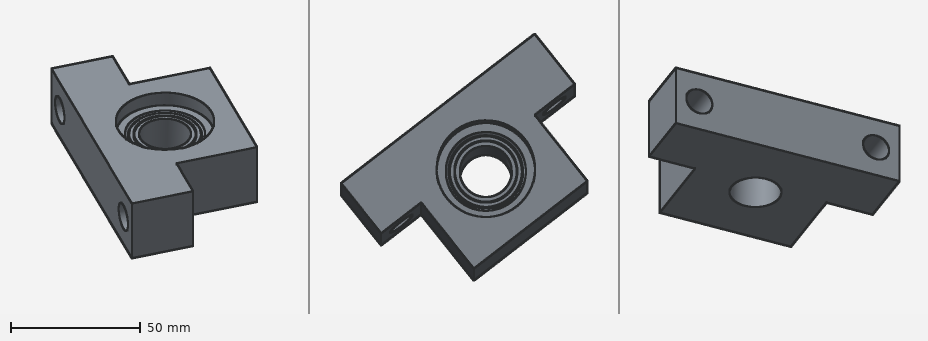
import cadquery as cq

length = 95.0
depth = 58.0
height = 26.0

flange_depth = 25.1
housing_width = 55.8

mount_hole_diameter = 11.0
mount_hole_spacing = 75.05

bore_center_y = 30.0
bore_diameter = 20.0
pocket_diameter = 38.0
pocket_depth = 6.0
floor_z = height - pocket_depth

taper_top_diameter = 31.0
taper_bottom_diameter = 28.8
shield_diameter = 27.8
taper_depth = 0.95

gap_outer_diameter = 24.4
gap_inner_diameter = 23.8
gap_depth = 0.5


def make_body():
    flange = cq.Workplane("XY").box(length, flange_depth, height, centered=(True, False, False))
    housing = cq.Workplane("XY").box(housing_width, depth, height, centered=(True, False, False))
    return flange.union(housing)


def make_mount_holes():
    holes = cq.Workplane("XZ").pushPoints(
        [(side * mount_hole_spacing / 2, height / 2) for side in (-1, 1)]
    )
    return holes.circle(mount_hole_diameter / 2).extrude(-flange_depth)


def ring_cut(top_outer, bottom_outer, inner, cut_depth):
    """Ring-shaped groove cut down from the pocket floor, with an optionally tapered outer wall."""
    bottom_z = floor_z - cut_depth
    profile = cq.Workplane("XZ").polyline([
        (inner / 2, floor_z),
        (top_outer / 2, floor_z),
        (bottom_outer / 2, bottom_z),
        (inner / 2, bottom_z),
    ]).close()
    ring = profile.revolve(360, (0, 0, 0), (0, 1, 0))
    return ring.translate((0, bore_center_y, 0))


def make_bearing_seat():
    axis = cq.Workplane("XY").center(0, bore_center_y)
    bore = axis.circle(bore_diameter / 2).extrude(height)
    pocket = axis.workplane(offset=floor_z).circle(pocket_diameter / 2).extrude(pocket_depth)
    return bore.union(pocket)


shield_groove = ring_cut(taper_top_diameter, taper_bottom_diameter, shield_diameter, taper_depth)
inner_ring_gap = ring_cut(gap_outer_diameter, gap_outer_diameter, gap_inner_diameter, gap_depth)

result = (
    make_body()
    .cut(make_mount_holes())
    .cut(make_bearing_seat())
    .cut(shield_groove)
    .cut(inner_ring_gap)
)